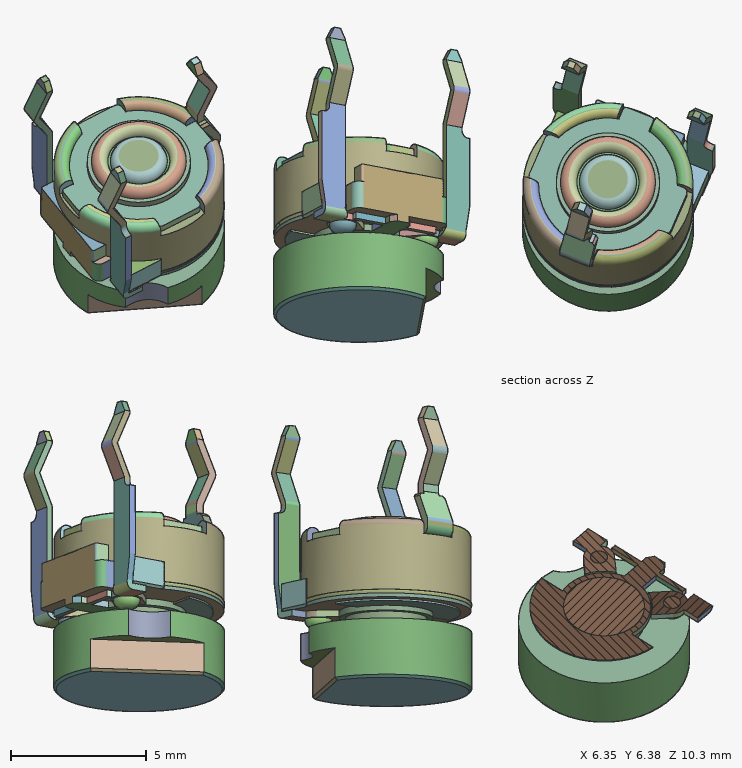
import cadquery as cq
import math


knob_top = 2.2
stud_bottom = 2.4
foot_bottom = 2.75
side_thickness = 0.25
housing_bottom = foot_bottom + side_thickness
side_block_top = 4.03
front_block_top = 4.7
cover_bottom = 5.42
cover_thickness = 0.3
cover_top = cover_bottom + cover_thickness
housing_top = 5.98
rotor_top = 6.3

knob_radius = 3.15
knob_chamfer = 0.1
shaft_radius = 1.5
flat_top = 1.2
flat_distance = 2.34
flat_angle = -27.5
scallop_radius = 1.2
scallop_half_angle = 14.3
scallop_half_chord = knob_radius * math.sin(math.radians(scallop_half_angle))
scallop_chord_distance = knob_radius * math.cos(math.radians(scallop_half_angle))
scallop_distance = scallop_chord_distance + math.sqrt(scallop_radius**2 - scallop_half_chord**2)

housing_radius = 3.125
rim_radius = 3.15
rim_height = 0.28
rim_round = 0.25
lip_inner_radius = 2.55
lip_round = 0.27
side_notch_half = 0.96
end_notch_half = 0.66
front_face = -3.15
upper_block_half = 1.755
lower_block_half = 2.0
lower_block_round = 0.31
upper_block_round = 0.065
side_block_half = 3.02
side_block_back = -0.96
side_block_chamfer = 0.09
collar_radius = 1.725
arm_half = 0.44
arm_nose_half = 0.25
arm_nose_start = -2.89
crossbar_half = 1.71
crossbar_front = -2.63
crossbar_back = -2.43
half_disc_radius = 2.73
half_disc_edge = 0.38
half_disc_thickness = 0.07
stud_x = 1.765
stud_y = -1.785
stud_radius = 0.325
stud_head_radius = 0.5
stud_head_round = 0.34

side_front = -2.63
side_center = side_front + side_thickness / 2
side_back = side_front + side_thickness
side_knee = -3.08
side_bends = (7.07, 8.3, 9.53)
side_tip = 10.0
side_tip_height = 0.4
side_inner_x = 2.16
side_outer_x = 3.175
side_pin_width = 0.68
side_tip_width = 0.26
shoulder_z = 6.68
shoulder_round = 0.25
taper_top = 4.07
taper_bottom = 3.1
foot_inner_x = 2.0
foot_outer_x = 3.015
eye_radius = 0.58
strap_gap = 0.05
strap_angle = 45

side_tab_reach = 2.82
side_tab_half = 0.95
side_tab_round = 0.2
end_tab_reach = 3.0
end_tab_half = 0.6
end_tab_round = 0.12
leg_outer = 3.04
leg_inner = 2.48
leg_knee = 3.05
leg_bends = (5.93, 7.06, 7.42, 8.61, 9.79)
leg_tip = 10.3
leg_tip_height = 0.44
leg_half = 0.36
leg_tip_half = 0.14
leg_shoulder = 7.0
leg_shoulder_chamfer = 0.1

pedestal_radius = 1.9
ring_radius = 1.745
bead_round = 0.3
ring_inner_radius = 1.14
button_radius = 1.05
button_round = 0.315


def cylinder(radius, bottom, top):
    return cq.Workplane("XY").workplane(offset=bottom).circle(radius).extrude(top - bottom)


def block(x0, x1, y0, y1, z0, z1):
    return cq.Workplane("XY").box(x1 - x0, y1 - y0, z1 - z0, centered=False).translate((x0, y0, z0))


def shifted(point, direction, distance):
    return (point[0] + distance * direction[0], point[1] + distance * direction[1])


def bent_strip(path, thickness, half_width):
    """Strip that follows a (y, z) centre line: each bend is sharp inside and round outside."""
    half = thickness / 2
    normals = []
    for (y0, z0), (y1, z1) in zip(path, path[1:]):
        length = math.hypot(y1 - y0, z1 - z0)
        normals.append(((z0 - z1) / length, (y1 - y0) / length))

    def chain(side):
        """Stretches of one edge: one point where it is straight, three where it is an arc."""
        stretches = [[shifted(path[0], normals[0], side * half)]]
        for (y, z), before, after in zip(path[1:-1], normals, normals[1:]):
            total = (before[0] + after[0], before[1] + after[1])
            length = math.hypot(*total)
            middle = (total[0] / length, total[1] / length)
            miter = half / (length / 2)
            turn = before[0] * after[1] - before[1] * after[0]
            if side * turn > 0:
                stretches.append([shifted((y, z), middle, side * miter)])
            else:
                corner = shifted((y, z), middle, -side * miter)
                arc = [shifted(corner, normal, side * thickness) for normal in (before, middle, after)]
                stretches.append(arc)
        stretches.append([shifted(path[-1], normals[-1], side * half)])
        return stretches

    far_edge = [stretch[::-1] for stretch in reversed(chain(-1))]
    outline = chain(1) + far_edge
    sketch = cq.Workplane("YZ").moveTo(*outline[0][0])
    for stretch in outline[1:]:
        sketch = sketch.lineTo(*stretch[0])
        if len(stretch) > 1:
            sketch = sketch.threePointArc(stretch[1], stretch[2])
    return sketch.close().extrude(half_width, both=True)


def make_knob():
    """Thumbwheel with a flat on its lower side, a scallop above the flat, and a shaft."""
    wheel = cylinder(knob_radius, 0, knob_top)
    flat = block(flat_distance, 2 * knob_radius, -knob_radius, knob_radius, 0, flat_top)
    scallop = cylinder(scallop_radius, 0, knob_top).translate((scallop_distance, 0, 0))
    wheel = wheel.cut(flat.union(scallop).rotate((0, 0, 0), (0, 0, 1), flat_angle))
    wheel = wheel.faces("<Z").chamfer(knob_chamfer)
    return wheel.union(cylinder(shaft_radius, knob_top, housing_bottom))


def make_housing_shell():
    """Round can with a rolled lip on top and a rounded rim at the bottom."""
    can = cylinder(housing_radius, housing_bottom, housing_top)
    can = can.cut(cylinder(lip_inner_radius, cover_bottom, housing_top))
    can = can.faces(">Z").edges().fillet(lip_round)
    rim = cylinder(rim_radius, housing_bottom, housing_bottom + rim_height)
    return can.union(rim.faces("<Z").edges().fillet(rim_round))


def make_front_blocks():
    upper = block(-upper_block_half, upper_block_half, front_face, 0, housing_bottom, front_block_top)
    upper = upper.edges("|Z and <Y").fillet(upper_block_round)
    lower = block(-lower_block_half, lower_block_half, front_face, 0, housing_bottom, side_block_top)
    lower = lower.edges("|Z and <Y").fillet(lower_block_round)
    sides = block(-side_block_half, side_block_half, side_back, side_block_back,
                  housing_bottom, side_block_top)
    sides = sides.faces("<Z").edges("|Y").chamfer(side_block_chamfer)
    return upper.union(lower).union(sides)


def make_underside():
    """Bearing collar, its arm and crossbar, the shallow half disc and the terminal studs."""
    collar = cylinder(collar_radius, foot_bottom, housing_bottom)
    arm = (
        cq.Workplane("XY").workplane(offset=foot_bottom)
        .moveTo(-arm_half, 0)
        .lineTo(-arm_half, arm_nose_start)
        .lineTo(-arm_nose_half, front_face)
        .lineTo(arm_nose_half, front_face)
        .lineTo(arm_half, arm_nose_start)
        .lineTo(arm_half, 0)
        .close().extrude(side_thickness)
    )
    crossbar = block(-crossbar_half, crossbar_half, crossbar_front, crossbar_back,
                     foot_bottom, housing_bottom)
    half_disc_bottom = housing_bottom - half_disc_thickness
    half_disc = cylinder(half_disc_radius, half_disc_bottom, housing_bottom).intersect(
        block(-knob_radius, knob_radius, half_disc_edge, knob_radius, half_disc_bottom, housing_bottom)
    )
    underside = collar.union(arm).union(crossbar).union(half_disc)
    for side in (-1, 1):
        head = cylinder(stud_head_radius, stud_bottom, foot_bottom)
        head = head.faces("<Z").edges().fillet(stud_head_round)
        stud = head.union(cylinder(stud_radius, foot_bottom, housing_bottom))
        underside = underside.union(stud.translate((side * stud_x, stud_y, 0)))
    return underside


def make_housing():
    housing = make_housing_shell().union(make_front_blocks()).union(make_underside())
    side_notches = block(-knob_radius, knob_radius, -side_notch_half, side_notch_half,
                         cover_bottom, housing_top)
    end_notches = block(-end_notch_half, end_notch_half, -knob_radius, knob_radius,
                        cover_bottom, housing_top)
    housing = housing.cut(side_notches).cut(end_notches)
    return housing.cut(cylinder(shaft_radius, foot_bottom, cover_bottom))


def make_side_terminal():
    """Terminal on the -X side: flat foot under the housing, upright blade and kinked pin."""
    path = [
        (stud_y, foot_bottom + side_thickness / 2),
        (side_center, foot_bottom + side_thickness / 2),
        (side_center, side_bends[0]),
        (side_knee, side_bends[1]),
        (side_center, side_bends[2]),
        (side_center, side_tip),
    ]
    pin_outer_x = side_inner_x + side_pin_width
    pin_middle_x = side_inner_x + side_pin_width / 2
    arc_offset = shoulder_round * (1 - math.sqrt(0.5))
    front_outline = (
        cq.Workplane("XZ")
        .moveTo(-foot_outer_x, foot_bottom)
        .lineTo(-foot_inner_x, foot_bottom)
        .lineTo(-side_inner_x, taper_bottom)
        .lineTo(-side_inner_x, side_tip - side_tip_height)
        .lineTo(-pin_middle_x + side_tip_width / 2, side_tip)
        .lineTo(-pin_middle_x - side_tip_width / 2, side_tip)
        .lineTo(-pin_outer_x, side_tip - side_tip_height)
        .lineTo(-pin_outer_x, shoulder_z + shoulder_round)
        .threePointArc((-pin_outer_x - arc_offset, shoulder_z + arc_offset),
                       (-pin_outer_x - shoulder_round, shoulder_z))
        .lineTo(-side_outer_x, shoulder_z)
        .lineTo(-side_outer_x, taper_top)
        .lineTo(-foot_outer_x, taper_bottom)
        .close().extrude(2 * knob_radius, both=True)
    )
    terminal = bent_strip(path, side_thickness, side_outer_x).intersect(front_outline)

    eye = cylinder(eye_radius, foot_bottom, housing_bottom)
    strap = block(0, stud_x, -eye_radius, eye_radius, foot_bottom, housing_bottom)
    foot = eye.union(strap.rotate((0, 0, 0), (0, 0, 1), strap_angle)).translate((-stud_x, stud_y, 0))
    foot = foot.cut(cylinder(collar_radius + strap_gap, foot_bottom, housing_bottom))
    terminal = terminal.union(foot)
    stud_hole = cylinder(stud_radius, foot_bottom, housing_bottom)
    return terminal.cut(stud_hole.translate((-stud_x, stud_y, 0)))


def make_cover_terminal():
    """Cover plate held under the lip, with three tabs and a kinked leg rising at the back."""
    plate = cylinder(lip_inner_radius, cover_bottom, cover_top)
    side_tabs = block(-side_tab_reach, side_tab_reach, -side_tab_half, side_tab_half,
                      cover_bottom, cover_top)
    end_tab = block(-end_tab_half, end_tab_half, -end_tab_reach, 0, cover_bottom, cover_top)
    plate = plate.union(side_tabs.edges("|Z").fillet(side_tab_round))
    plate = plate.union(end_tab.edges("|Z and <Y").fillet(end_tab_round))

    middle_z = cover_bottom + cover_thickness / 2
    path = [
        (shaft_radius, middle_z),
        (leg_outer, middle_z),
        (leg_outer, leg_bends[0]),
        (leg_inner, leg_bends[1]),
        (leg_inner, leg_bends[2]),
        (leg_knee, leg_bends[3]),
        (leg_inner, leg_bends[4]),
        (leg_inner, leg_tip),
    ]
    half_outline = [
        (end_tab_half, cover_bottom),
        (end_tab_half, leg_shoulder - leg_shoulder_chamfer),
        (end_tab_half - leg_shoulder_chamfer, leg_shoulder),
        (leg_half, leg_shoulder),
        (leg_half, leg_tip - leg_tip_height),
        (leg_tip_half, leg_tip),
    ]
    mirrored = [(-x, z) for x, z in reversed(half_outline)]
    front_outline = cq.Workplane("XZ").polyline(half_outline + mirrored).close()
    leg = bent_strip(path, cover_thickness, end_tab_half)
    leg = leg.intersect(front_outline.extrude(2 * knob_radius, both=True))
    return plate.union(leg).cut(cylinder(shaft_radius, cover_bottom, cover_top))


def make_rotor():
    """Turning core through the housing and cover, with a pedestal, a round bead and a button on top."""
    core = cylinder(shaft_radius, housing_bottom, cover_top)
    pedestal = cylinder(pedestal_radius, cover_top, housing_top)
    bead = cylinder(ring_radius, housing_top, rotor_top)
    bead = bead.cut(cylinder(ring_inner_radius, housing_top, rotor_top))
    bead = bead.faces(">Z").edges().fillet(bead_round)
    button = cylinder(button_radius, housing_top, rotor_top)
    button = button.faces(">Z").edges().fillet(button_round)
    return core.union(pedestal).union(bead).union(button)


knob = make_knob()
housing = make_housing()
left_terminal = make_side_terminal()
right_terminal = left_terminal.mirror("YZ")
cover_terminal = make_cover_terminal()
rotor = make_rotor()

result = cq.Compound.makeCompound([
    knob.val(),
    housing.val(),
    left_terminal.val(),
    right_terminal.val(),
    cover_terminal.val(),
    rotor.val(),
])